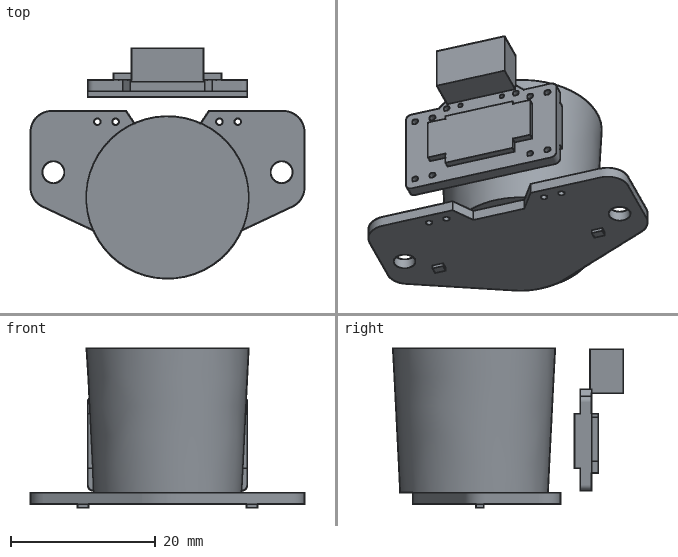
import cadquery as cq
import math


cup_height = 20.0
cup_top_diameter = 22.5
cup_bottom_diameter = 20.5

plate_width = 37.97
plate_thickness = 1.6
plate_back_y = 12.0
plate_front_y = -8.5
corner_radius = 3.0
nose_flat = 0.3
nose_radius = 8.0
nose_angle = 25.2
notch_width = 11.45
notch_depth = 3.0
notch_wall_angle = 56.3
mount_hole_diameter = 3.0
mount_hole_x = 15.8
mount_hole_y = 3.5
pin_hole_diameter = 0.87
outer_pin_x = 9.72
pin_pitch = 2.55
inner_pin_x = outer_pin_x - pin_pitch
plate_pin_y = 10.48
foot_length = 1.55
foot_width = 1.1
foot_height = 0.5
foot_x = 11.7
foot_y = 0.8

board_width = 22.1
board_thickness = 1.6
board_front_y = 14.7
board_back_y = board_front_y + board_thickness
board_bottom_z = 0.25
shoulder_z = 13.33
board_corner_radius = 0.8
tab_top_z = 14.35
tab_bottom_width = 12.45
tab_top_width = 10.33
front_pad_thickness = 0.8
front_pad_bottom_z = 3.38
pad_top_z = 10.95
rear_pad_thickness = 0.9
rear_pad_bottom_z = 2.7
rear_pad_width = 15.0
rear_pad_core_width = 9.87
rear_wide_bottom_z = 4.33
rear_wide_top_z = 10.48
lower_pin_z = 1.8
upper_pin_z = 11.92
tab_hole_z = 13.02
tab_outer_hole_x = 5.1
tab_outer_hole_diameter = 0.85
tab_inner_hole_x = 3.05
tab_inner_hole_diameter = 0.65

connector_width = 10.0
connector_depth = 4.65
connector_height = 6.1
connector_top_z = 19.85
connector_front_y = 16.02


def block(width, y_start, y_end, z_start, z_end):
    """Box centred on X between the given Y and Z limits."""
    return (
        cq.Workplane("XY")
        .box(width, y_end - y_start, z_end - z_start, centered=(True, False, False))
        .translate((0, y_start, z_start))
    )


def mirrored(points):
    """The points together with their mirror images across X = 0."""
    return [(side * x, other) for x, other in points for side in (-1, 1)]


def make_cup():
    return (
        cq.Workplane("XY")
        .circle(cup_bottom_diameter / 2)
        .workplane(offset=cup_height)
        .circle(cup_top_diameter / 2)
        .loft(ruled=True)
    )


def make_plate_blank():
    half_width = plate_width / 2
    slope = math.tan(math.radians(nose_angle))
    nose_x = nose_flat / 2 + nose_radius * math.tan(math.radians(nose_angle / 2))
    side_front_y = plate_front_y + (half_width - nose_x) * slope
    blank = (
        cq.Workplane("XY")
        .polyline([
            (-half_width, plate_back_y),
            (-half_width, side_front_y),
            (-nose_x, plate_front_y),
            (nose_x, plate_front_y),
            (half_width, side_front_y),
            (half_width, plate_back_y),
        ])
        .close()
        .extrude(-plate_thickness)
    )
    blank = blank.edges("|Z and (<X or >X)").fillet(corner_radius)
    return blank.edges("|Z and <Y").fillet(nose_radius)


def make_notch():
    top_x = notch_width / 2
    floor_x = top_x - notch_depth / math.tan(math.radians(notch_wall_angle))
    floor_y = plate_back_y - notch_depth
    return (
        cq.Workplane("XY")
        .polyline([
            (-top_x, plate_back_y),
            (-floor_x, floor_y),
            (floor_x, floor_y),
            (top_x, plate_back_y),
        ])
        .close()
        .extrude(-plate_thickness)
    )


def plate_holes(points, diameter):
    return (
        cq.Workplane("XY")
        .pushPoints(mirrored(points))
        .circle(diameter / 2)
        .extrude(-plate_thickness)
    )


def make_plate():
    feet = (
        cq.Workplane("XY", origin=(0, 0, -plate_thickness))
        .pushPoints(mirrored([(foot_x, foot_y)]))
        .rect(foot_length, foot_width)
        .extrude(-foot_height)
    )
    pin_points = [(outer_pin_x, plate_pin_y), (inner_pin_x, plate_pin_y)]
    return (
        make_plate_blank()
        .cut(make_notch())
        .cut(plate_holes([(mount_hole_x, mount_hole_y)], mount_hole_diameter))
        .cut(plate_holes(pin_points, pin_hole_diameter))
        .union(feet)
    )


def make_connector():
    return block(
        connector_width,
        connector_front_y,
        connector_front_y + connector_depth,
        connector_top_z - connector_height,
        connector_top_z,
    )


def make_board_blank():
    panel = block(board_width, board_front_y, board_back_y, board_bottom_z, shoulder_z)
    panel = panel.edges("|Y").fillet(board_corner_radius)
    tab = (
        cq.Workplane("XZ", origin=(0, board_back_y, 0))
        .polyline([
            (-tab_bottom_width / 2, shoulder_z),
            (-tab_top_width / 2, tab_top_z),
            (tab_top_width / 2, tab_top_z),
            (tab_bottom_width / 2, shoulder_z),
        ])
        .close()
        .extrude(board_thickness)
    )
    return panel.union(tab)


def add_board_pads(board):
    front_pad = block(
        board_width, board_front_y - front_pad_thickness, board_front_y, front_pad_bottom_z, pad_top_z
    )
    rear_y = board_back_y + rear_pad_thickness
    rear_core = block(rear_pad_core_width, board_back_y, rear_y, rear_pad_bottom_z, pad_top_z)
    rear_wide = block(rear_pad_width, board_back_y, rear_y, rear_wide_bottom_z, rear_wide_top_z)
    return board.union(front_pad).union(rear_core).union(rear_wide)


def board_holes(points, diameter):
    return (
        cq.Workplane("XZ", origin=(0, board_back_y, 0))
        .pushPoints(mirrored(points))
        .circle(diameter / 2)
        .extrude(board_thickness)
    )


def make_board():
    pin_points = [(x, z) for x in (outer_pin_x, inner_pin_x) for z in (lower_pin_z, upper_pin_z)]
    return (
        add_board_pads(make_board_blank())
        .cut(board_holes(pin_points, pin_hole_diameter))
        .cut(board_holes([(tab_outer_hole_x, tab_hole_z)], tab_outer_hole_diameter))
        .cut(board_holes([(tab_inner_hole_x, tab_hole_z)], tab_inner_hole_diameter))
        .cut(make_connector())
    )


cup = make_cup()
plate = make_plate()
board = make_board()
connector = make_connector()

result = cq.Compound.makeCompound([cup.val(), plate.val(), board.val(), connector.val()])